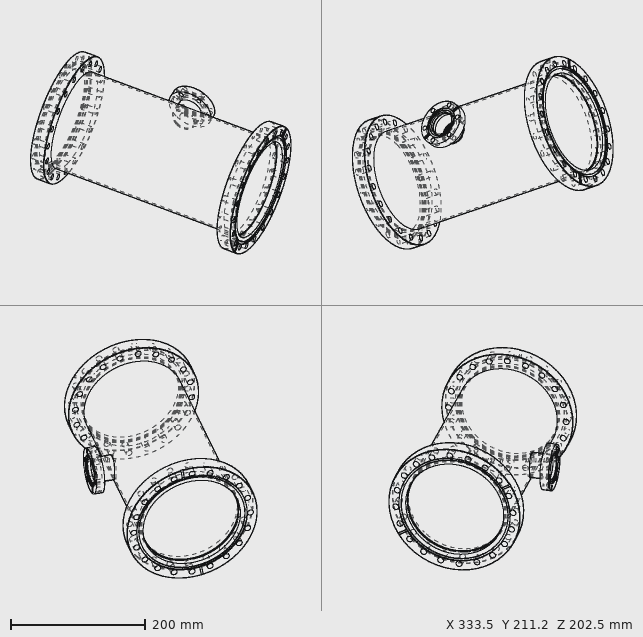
import cadquery as cq
import math

LENGTH = 333.5
BRANCH_REACH = 110.0
LEFT_FLANGE_TURN = 0.0
RIGHT_FLANGE_TURN = 112.5

TUBE_OUTER_D = 154.0
TUBE_INNER_D = 149.0

FLANGE_D = 202.5
FLANGE_THICKNESS = 22.7
FLANGE_BORE_D = 151.0
FLANGE_SOCKET_DEPTH = 11.0
FLANGE_RECESS_D = 171.5
FLANGE_KNIFE_D = 164.7
FLANGE_BOLT_CIRCLE_D = 181.0
FLANGE_BOLT_D = 9.0
FLANGE_BOLT_COUNT = 20
FLANGE_RIM_CHAMFER = 0.7

BRANCH_OUTER_D = 38.0
BRANCH_INNER_D = 36.0

BRANCH_FLANGE_D = 70.0
BRANCH_FLANGE_THICKNESS = 13.0
BRANCH_BORE_D = 36.5
BRANCH_SOCKET_DEPTH = 6.5
BRANCH_RECESS_D = 48.5
BRANCH_KNIFE_D = 42.0
BRANCH_BOLT_CIRCLE_D = 58.7
BRANCH_BOLT_D = 6.7
BRANCH_BOLT_COUNT = 6

RECESS_DEPTH = 2.0
KNIFE_ANGLE = 20.0
GROOVE_WIDTH = 3.0
GROOVE_DEPTH = 1.5
GROOVE_OVERRUN = 0.7


def cylinder(diameter, start, end):
    """Cylinder along Z between two heights."""
    return cq.Workplane("XY").workplane(offset=start).circle(diameter / 2).extrude(end - start)


def seal_recess(recess_d, knife_d, bore_d):
    """Ring cut below Z = 0 that leaves a knife edge standing on its floor."""
    knife_height = (recess_d - knife_d) / 2 * math.tan(math.radians(KNIFE_ANGLE))
    return (
        cq.Workplane("XZ")
        .moveTo(bore_d / 2, 0)
        .lineTo(recess_d / 2, 0)
        .lineTo(recess_d / 2, -RECESS_DEPTH)
        .lineTo(knife_d / 2, knife_height - RECESS_DEPTH)
        .lineTo(knife_d / 2, -RECESS_DEPTH)
        .lineTo(bore_d / 2, -RECESS_DEPTH)
        .close()
        .revolve(360, (0, 0, 0), (0, 1, 0))
    )


def leak_grooves(outer_d, recess_d, angle):
    """Two opposite radial grooves from the recess to the rim, in the face at Z = 0."""
    mid_radius = (outer_d + recess_d) / 4
    groove_length = (outer_d - recess_d) / 2 + 2 * GROOVE_OVERRUN
    return (
        cq.Workplane("XY")
        .polarArray(mid_radius, angle, 360, 2)
        .rect(groove_length, GROOVE_WIDTH)
        .extrude(-GROOVE_DEPTH)
    )


def knife_edge_flange(outer_d, thickness, bore_d, socket_d, socket_depth, recess_d, knife_d,
                      bolt_circle_d, bolt_d, bolt_count, rim_chamfer=0):
    """Bolted flange with its sealing face at Z = 0, its body below it and a bolt hole on +X."""
    flange = cylinder(outer_d, -thickness, 0)
    if rim_chamfer:
        flange = flange.edges().chamfer(rim_chamfer)
    flange = flange.cut(cylinder(bore_d, -thickness, 0))
    flange = flange.cut(cylinder(socket_d, -thickness, socket_depth - thickness))
    flange = flange.cut(seal_recess(recess_d, knife_d, bore_d))
    bolts = (
        cq.Workplane("XY")
        .polarArray(bolt_circle_d / 2, 0, 360, bolt_count)
        .circle(bolt_d / 2)
        .extrude(-thickness)
    )
    half_bolt_pitch = 180 / bolt_count
    return flange.cut(bolts).cut(leak_grooves(outer_d, recess_d, half_bolt_pitch))


def make_main_tube():
    """Tube along X with a round opening into the branch."""
    half_length = LENGTH / 2 - FLANGE_THICKNESS + FLANGE_SOCKET_DEPTH
    tube = cylinder(TUBE_OUTER_D, -half_length, half_length)
    tube = tube.cut(cylinder(TUBE_INNER_D, -half_length, half_length))
    tube = tube.rotate((0, 0, 0), (0, 1, 0), 90)
    opening = cylinder(BRANCH_INNER_D, 0, BRANCH_REACH).rotate((0, 0, 0), (1, 0, 0), -90)
    return tube.cut(opening)


def make_main_flange(side, turn):
    """Main flange with its sealing face outward at the -X end (side = -1) or the +X end (side = 1)."""
    flange = knife_edge_flange(
        FLANGE_D, FLANGE_THICKNESS, FLANGE_BORE_D, TUBE_OUTER_D, FLANGE_SOCKET_DEPTH,
        FLANGE_RECESS_D, FLANGE_KNIFE_D, FLANGE_BOLT_CIRCLE_D, FLANGE_BOLT_D, FLANGE_BOLT_COUNT,
        FLANGE_RIM_CHAMFER,
    )
    return (
        flange.rotate((0, 0, 0), (0, 1, 0), side * 90)
        .rotate((0, 0, 0), (1, 0, 0), turn)
        .translate((side * LENGTH / 2, 0, 0))
    )


def make_branch_tube():
    """Tube along +Y whose inner end is saddle-cut to sit on the main tube."""
    end = BRANCH_REACH - BRANCH_FLANGE_THICKNESS + BRANCH_SOCKET_DEPTH
    tube = cylinder(BRANCH_OUTER_D, 0, end).cut(cylinder(BRANCH_INNER_D, 0, end))
    tube = tube.rotate((0, 0, 0), (1, 0, 0), -90)
    saddle = cylinder(TUBE_OUTER_D, -LENGTH / 2, LENGTH / 2).rotate((0, 0, 0), (0, 1, 0), 90)
    return tube.cut(saddle)


def make_branch_flange():
    """Branch flange with its sealing face toward +Y."""
    flange = knife_edge_flange(
        BRANCH_FLANGE_D, BRANCH_FLANGE_THICKNESS, BRANCH_BORE_D, BRANCH_OUTER_D,
        BRANCH_SOCKET_DEPTH, BRANCH_RECESS_D, BRANCH_KNIFE_D, BRANCH_BOLT_CIRCLE_D,
        BRANCH_BOLT_D, BRANCH_BOLT_COUNT,
    )
    return (
        flange.rotate((0, 0, 0), (1, 0, 0), -90)
        .translate((0, BRANCH_REACH, 0))
    )


main_tube = make_main_tube()
main_flanges = [
    make_main_flange(side, turn)
    for side, turn in ((-1, LEFT_FLANGE_TURN), (1, RIGHT_FLANGE_TURN))
]
branch_tube = make_branch_tube()
branch_flange = make_branch_flange()

result = cq.Compound.makeCompound([
    main_tube.val(),
    *[flange.val() for flange in main_flanges],
    branch_tube.val(),
    branch_flange.val(),
])